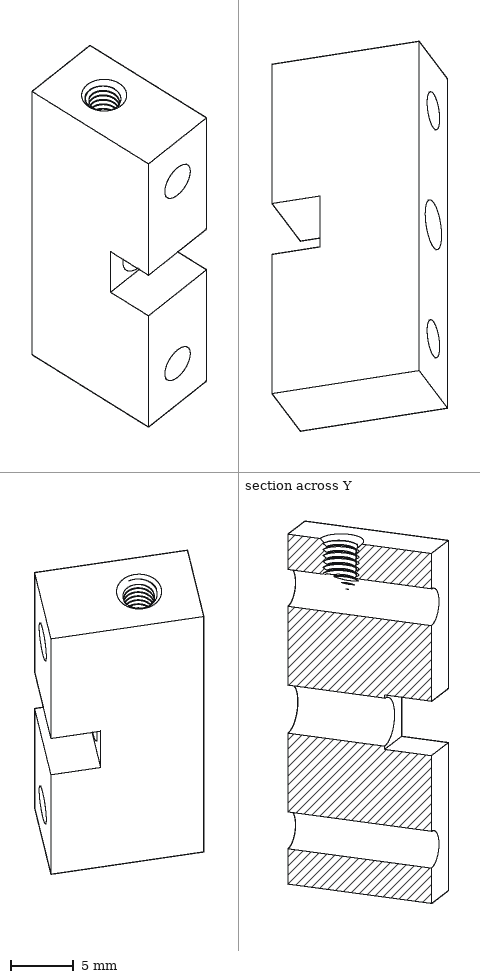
import cadquery as cq
import math

length = 12.4
width = 7.0
height = 29.48
mid_y = width / 2
mid_z = height / 2

center_hole_diameter = 4.0
outer_hole_diameter = 3.07
outer_hole_offset = 10.2

notch_depth = 4.05
notch_height = 4.55

thread_x = 4.6
minor_diameter = 2.45
major_diameter = 3.1
thread_pitch = 0.5
groove_mouth = 0.45
thread_start_angle = 90
groove_overlap = 0.03
countersink_diameter = 3.6
thread_bottom = mid_z + outer_hole_offset
thread_depth = height - thread_bottom


def cross_hole(z, diameter):
    """Cylinder through the full length of the block at height z."""
    return cq.Workplane("YZ").center(mid_y, z).circle(diameter / 2).extrude(length)


def notch():
    return cq.Workplane("XY").box(notch_depth, width, notch_height).translate(
        (length - notch_depth / 2, mid_y, mid_z)
    )


def thread_bore():
    """Plain bore at the minor diameter, with a 45 degree countersink."""
    bore_radius = minor_diameter / 2
    sink_radius = countersink_diameter / 2
    sink_depth = sink_radius - bore_radius
    return (
        cq.Workplane("XZ")
        .moveTo(0, 0)
        .lineTo(bore_radius, 0)
        .lineTo(bore_radius, thread_depth - sink_depth)
        .lineTo(sink_radius, thread_depth)
        .lineTo(0, thread_depth)
        .close()
        .revolve(360, (0, 0), (0, 1))
        .translate((thread_x, mid_y, thread_bottom))
    )


def thread_groove():
    """Helical V groove, running from the cross hole up into the countersink."""
    inner_radius = minor_diameter / 2 - groove_overlap
    turns = math.floor(thread_depth / thread_pitch)
    helix = cq.Wire.makeHelix(thread_pitch, turns * thread_pitch, inner_radius)
    return (
        cq.Workplane("XZ")
        .moveTo(inner_radius, -groove_mouth / 2)
        .lineTo(major_diameter / 2, 0)
        .lineTo(inner_radius, groove_mouth / 2)
        .close()
        .sweep(cq.Workplane(helix), isFrenet=True)
        .rotate((0, 0, 0), (0, 0, 1), thread_start_angle)
        .translate((thread_x, mid_y, thread_bottom))
    )


result = cq.Workplane("XY").box(length, width, height, centered=False)
result = result.cut(notch())
result = result.cut(thread_bore())
result = result.cut(thread_groove())
result = result.cut(cross_hole(mid_z, center_hole_diameter))
for side in (-1, 1):
    result = result.cut(cross_hole(mid_z + side * outer_hole_offset, outer_hole_diameter))